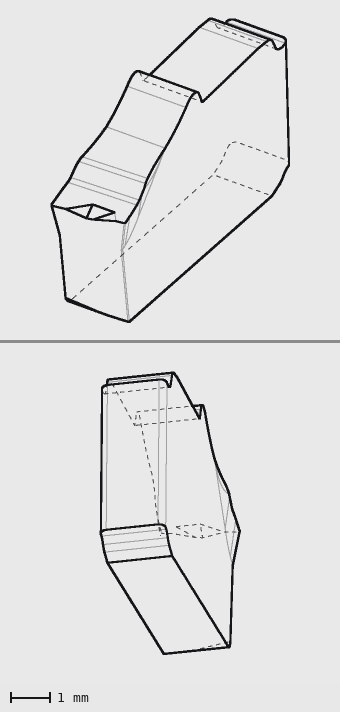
import cadquery as cq
import math


LENGTH = 10.11
CREST_Z = 0.80
HEIGHT = 7.99
BOTTOM_Z = CREST_Z - HEIGHT
HEAD_WIDTH = 1.99
PLATE_WIDTH = 1.69
HEAD_HALF = HEAD_WIDTH / 2
PLATE_HALF = PLATE_WIDTH / 2
MARGIN = 1.0

FRONT_SKEW = 8.0
FRONT_RELIEF = 7.2
FLANK_RELIEF = 7.0
FLANK_LAND_Y = 0.57
FLANK_LAND_HALF = 0.989
FLANK_BEND_Y = 1.33
FLANK_BEND_HALF = 0.946
FLANK_BEND_BULGE = 0.008
FLARE_SLOPE = 0.0875
FLARE_END_Y = 3.20
FLANK_DEPTH = 1.50

SHELF_Z = 0.295
SHELF_END_Y = 2.88
RAMP_SKEW = 2.0
RAMP_FOOT_Y = 1.045
RAMP_ANGLE = 28.0
RAMP_RADIUS = 0.33

RISE_MID = (3.48, 0.435)
RISE_END = (4.07, 0.69)
CREST_TOP = (4.35, CREST_Z)
CREST_END = (4.83, 0.45)
CREST_BACK_BREAK = (4.90, 0.28)
CREST_FOOT_START = (4.96, 0.10)
CREST_FOOT_MID = (5.00, 0.03)
CREST_FOOT_END = (5.11, -0.02)
TOP_EDGE_END = (8.20, -0.98)
SHOULDER_START = (8.69, -1.18)
SHOULDER_MID = (8.89, -1.30)
SHOULDER_END = (9.03, -1.49)
STEP_FOOT_START = (9.18, -1.84)
STEP_FOOT_MID = (9.41, -2.13)
STEP_FOOT_END = (9.76, -2.24)
REAR_TOP_Y = 9.93
REAR_TOP_Z = STEP_FOOT_END[1]
REAR_BOTTOM_Z = -6.96
KEEL_START = (9.86, REAR_BOTTOM_Z)
KEEL_ROUND_MID = (9.73, -7.00)
KEEL_INFLECTION = (9.64, -7.07)
KEEL_HOLLOW_MID = (9.55, -7.13)
KEEL_END = (9.43, -7.16)
LOWEST_Y = 9.00
HEEL_START = (0.87, -4.24)
HEEL_MID = (0.74, -4.17)
HEEL_END = (0.64, -4.04)
FACET_TOP = (0.34, -3.54)

HOLLOW_BACK_Y = 2.92
HOLLOW_FRONT_Y = 1.36
HOLLOW_MID_Y = 2.06
HOLLOW_MID_DEPTH = 0.038
HOLLOW_FRONT_DEPTH = 0.126

GROOVE_BACK_Y = 0.51
GROOVE_DEPTH = 0.18
GROOVE_FLOOR_LEFT = -0.05
GROOVE_FLOOR_RIGHT = 0.13
GROOVE_FRONT_LEFT = -0.60
GROOVE_FRONT_RIGHT = 0.75
GROOVE_BACK_RIGHT = 0.58

BACK_FILLET = 0.17
SAME_DIRECTION = 0.9999
NEARLY_UPRIGHT = 0.9
CORNER_RADIUS = 0.03


def plate_outline():
    """Side outline in the YZ plane, running from the front along the top."""
    return (
        cq.Workplane("YZ")
        .moveTo(-MARGIN, SHELF_Z)
        .lineTo(SHELF_END_Y, SHELF_Z)
        .threePointArc(RISE_MID, RISE_END)
        .threePointArc(CREST_TOP, CREST_END)
        .lineTo(*CREST_BACK_BREAK)
        .lineTo(*CREST_FOOT_START)
        .threePointArc(CREST_FOOT_MID, CREST_FOOT_END)
        .lineTo(*TOP_EDGE_END)
        .lineTo(*SHOULDER_START)
        .threePointArc(SHOULDER_MID, SHOULDER_END)
        .lineTo(*STEP_FOOT_START)
        .threePointArc(STEP_FOOT_MID, STEP_FOOT_END)
        .lineTo(REAR_TOP_Y, REAR_TOP_Z)
        .lineTo(LENGTH, REAR_BOTTOM_Z)
        .lineTo(*KEEL_START)
        .threePointArc(KEEL_ROUND_MID, KEEL_INFLECTION)
        .threePointArc(KEEL_HOLLOW_MID, KEEL_END)
        .lineTo(LOWEST_Y, BOTTOM_Z)
        .lineTo(*HEEL_START)
        .threePointArc(HEEL_MID, HEEL_END)
        .lineTo(*FACET_TOP)
        .lineTo(-MARGIN, FACET_TOP[1])
        .close()
    )


def plate():
    """Plate of constant width with rounded rear corners."""
    body = plate_outline().extrude(PLATE_HALF, both=True)
    return body.faces(">Y").edges("<X or >X").fillet(BACK_FILLET)


def flank_plan():
    """Plan of the head at rake level, symmetric about X = 0."""
    land_slope = (HEAD_HALF - FLANK_LAND_HALF) / FLANK_LAND_Y
    front_half = HEAD_HALF + land_slope * MARGIN
    flare_end_half = FLANK_BEND_HALF - FLARE_SLOPE * (FLARE_END_Y - FLANK_BEND_Y)
    bend_mid_y = (FLANK_LAND_Y + FLANK_BEND_Y) / 2
    bend_mid_half = (FLANK_LAND_HALF + FLANK_BEND_HALF) / 2 + FLANK_BEND_BULGE
    return (
        cq.Workplane("XY")
        .moveTo(-front_half, -MARGIN)
        .lineTo(-FLANK_LAND_HALF, FLANK_LAND_Y)
        .threePointArc((-bend_mid_half, bend_mid_y), (-FLANK_BEND_HALF, FLANK_BEND_Y))
        .lineTo(-flare_end_half, FLARE_END_Y)
        .lineTo(flare_end_half, FLARE_END_Y)
        .lineTo(FLANK_BEND_HALF, FLANK_BEND_Y)
        .threePointArc((bend_mid_half, bend_mid_y), (FLANK_LAND_HALF, FLANK_LAND_Y))
        .lineTo(front_half, -MARGIN)
        .close()
    )


def head():
    """Widened cutting head with relieved flanks, kept inside the side outline."""
    below = flank_plan().extrude(-FLANK_DEPTH, taper=FLANK_RELIEF)
    above = flank_plan().extrude(SHELF_Z, taper=-FLANK_RELIEF)
    body = below.union(above)
    outline = plate_outline().extrude(HEAD_WIDTH, both=True)
    body = body.intersect(outline)
    for side in (-1, 1):
        body = body.cut(flank_hollow(side))
    return body


def flank_hollow(side):
    """Cutter with an upright bowed wall beside the shelf; side is -1 or +1."""
    outside = side * (HEAD_HALF + MARGIN)
    return (
        cq.Workplane("XY")
        .workplane(offset=-FLANK_DEPTH)
        .moveTo(side * PLATE_HALF, HOLLOW_BACK_Y)
        .threePointArc(
            (side * (PLATE_HALF + HOLLOW_MID_DEPTH), HOLLOW_MID_Y),
            (side * (PLATE_HALF + HOLLOW_FRONT_DEPTH), HOLLOW_FRONT_Y),
        )
        .lineTo(outside, HOLLOW_FRONT_Y)
        .lineTo(outside, FLARE_END_Y + MARGIN)
        .lineTo(side * PLATE_HALF, FLARE_END_Y + MARGIN)
        .close()
        .extrude(FLANK_DEPTH + MARGIN)
    )


def ramp_cutter():
    """Space above the rake face and the ramp that climbs to the shelf."""
    slope = math.tan(math.radians(RAMP_ANGLE))
    ramp_top_y = RAMP_FOOT_Y + SHELF_Z / slope
    tangent = RAMP_RADIUS * math.tan(math.radians(RAMP_ANGLE / 2))
    run = tangent * math.cos(math.radians(RAMP_ANGLE))
    rise = tangent * math.sin(math.radians(RAMP_ANGLE))
    return (
        cq.Workplane("YZ")
        .moveTo(-2 * MARGIN, 0)
        .lineTo(RAMP_FOOT_Y - tangent, 0)
        .tangentArcPoint((RAMP_FOOT_Y + run, rise), relative=False)
        .lineTo(ramp_top_y - run, SHELF_Z - rise)
        .tangentArcPoint((ramp_top_y + tangent, SHELF_Z), relative=False)
        .lineTo(ramp_top_y + tangent, SHELF_Z + MARGIN)
        .lineTo(-2 * MARGIN, SHELF_Z + MARGIN)
        .close()
        .extrude(HEAD_WIDTH, both=True)
        .rotate((0, 0, 0), (0, 0, 1), RAMP_SKEW)
    )


def front_normal():
    """Outward normal of the skewed, back-leaning front face."""
    skew = math.radians(FRONT_SKEW)
    relief = math.radians(FRONT_RELIEF)
    level = math.cos(relief)
    return cq.Vector(level * math.sin(skew), -level * math.cos(skew), -math.sin(relief))


def front_y(x, depth):
    """Y of the front face at a given X and depth below the rake face."""
    skew = math.radians(FRONT_SKEW)
    lean = math.tan(math.radians(FRONT_RELIEF)) / math.cos(skew)
    return (x + HEAD_HALF) * math.tan(skew) + depth * lean


def front_cutter():
    """Everything ahead of the skewed, back-leaning front face."""
    size = 4 * HEIGHT
    return (
        cq.Workplane("XY")
        .box(size, size, size, centered=(True, False, True))
        .translate((0, -size, 0))
        .rotate((0, 0, 0), (1, 0, 0), FRONT_RELIEF)
        .rotate((0, 0, 0), (0, 0, 1), FRONT_SKEW)
        .translate((-HEAD_HALF, 0, 0))
    )


def planar_face(*corners):
    return cq.Face.makeFromWires(cq.Wire.makePolygon(corners, close=True))


def rake_groove():
    """Flat-floored trough that deepens from its back line to the front edge."""

    def beyond(start, x, depth):
        """Carry the line from start through a front face point to a plane ahead of the part."""
        end = cq.Vector(x, front_y(x, depth), -depth)
        factor = (-MARGIN - start.y) / (end.y - start.y)
        return start + (end - start) * factor

    back_left = cq.Vector(GROOVE_FLOOR_LEFT, GROOVE_BACK_Y, 0)
    back_right = cq.Vector(GROOVE_BACK_RIGHT, GROOVE_BACK_Y, 0)
    top_left = beyond(back_left, GROOVE_FRONT_LEFT, 0)
    top_right = beyond(back_right, GROOVE_FRONT_RIGHT, 0)
    floor_left = beyond(back_left, GROOVE_FLOOR_LEFT, GROOVE_DEPTH)
    floor_right_x = beyond(back_right, GROOVE_FLOOR_RIGHT, GROOVE_DEPTH).x
    floor_right = cq.Vector(floor_right_x, -MARGIN, floor_left.z)
    shell = cq.Shell.makeShell([
        planar_face(back_left, top_left, top_right, back_right),
        planar_face(back_left, back_right, floor_right, floor_left),
        planar_face(back_left, floor_left, top_left),
        planar_face(back_right, top_right, floor_right),
        planar_face(top_left, floor_left, floor_right, top_right),
    ])
    return cq.Workplane(obj=cq.Solid.makeSolid(shell).fix())


def round_front_corners(body):
    """Round the upright edges where the front face meets flanks and plate sides."""
    outward = front_normal()
    front_faces = [f for f in body.faces().vals() if f.normalAt().dot(outward) > SAME_DIRECTION]
    edges = [e for f in front_faces for e in f.Edges()]
    upright = [e for e in edges if abs(e.tangentAt(0.5).z) > NEARLY_UPRIGHT]
    return body.newObject(upright).fillet(CORNER_RADIUS)


blank = plate().union(head()).cut(front_cutter())
result = round_front_corners(blank).cut(ramp_cutter()).cut(rake_groove())